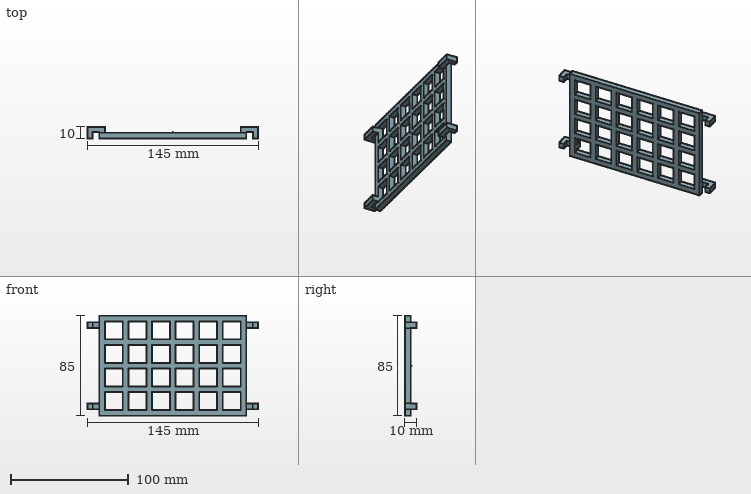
import cadquery as cq

overall_length = 145.0
columns = 6
rows = 4
opening_bars = 3
overhang_bars = 2

frame_length_bars = columns * opening_bars + columns + 1
bar = overall_length / (frame_length_bars + 2 * overhang_bars)

opening = opening_bars * bar
pitch = opening + bar
frame_length = columns * pitch + bar
frame_height = rows * pitch + bar
frame_thickness = bar

clearance = bar / 10
hook_thickness = bar - clearance
hook_width = bar
hook_inset = bar + clearance
hook_overlap = bar
hook_depth = 2 * bar
hook_height = frame_height / 2 - hook_inset - hook_width / 2

nub_width = 0.3
nub_projection = 1.0


def make_frame():
    """Flat frame with its front face on Y = 0 and a grid of square openings."""
    frame = cq.Workplane("XY").box(
        frame_length, frame_thickness, frame_height, centered=(True, False, True)
    )
    openings = (
        cq.Workplane("XZ")
        .rarray(pitch, pitch, columns, rows)
        .rect(opening, opening)
        .extrude(-frame_thickness)
    )
    return frame.cut(openings)


def make_hook(height):
    """Hook at the +X end: an arm behind the frame with its leg turned forward."""
    tip = overall_length / 2
    leg_inside = tip - hook_thickness
    arm_inside = hook_depth - hook_thickness
    frame_end = frame_length / 2
    root = frame_end - hook_overlap
    return (
        cq.Workplane("XY", origin=(0, 0, height - hook_width / 2))
        .moveTo(root, frame_thickness)
        .lineTo(frame_end, frame_thickness)
        .lineTo(frame_end, arm_inside)
        .lineTo(leg_inside, arm_inside)
        .lineTo(leg_inside, 0)
        .lineTo(tip, 0)
        .lineTo(tip, hook_depth)
        .lineTo(root, hook_depth)
        .close()
        .extrude(hook_width)
    )


def make_nub():
    """Tiny square nub standing on the back face of the frame."""
    return (
        cq.Workplane("XZ", origin=(0, frame_thickness, 0))
        .rect(nub_width, nub_width)
        .extrude(-nub_projection)
    )


result = make_frame().union(make_nub())
for height in (-hook_height, hook_height):
    hook = make_hook(height)
    result = result.union(hook).union(hook.mirror("YZ"))